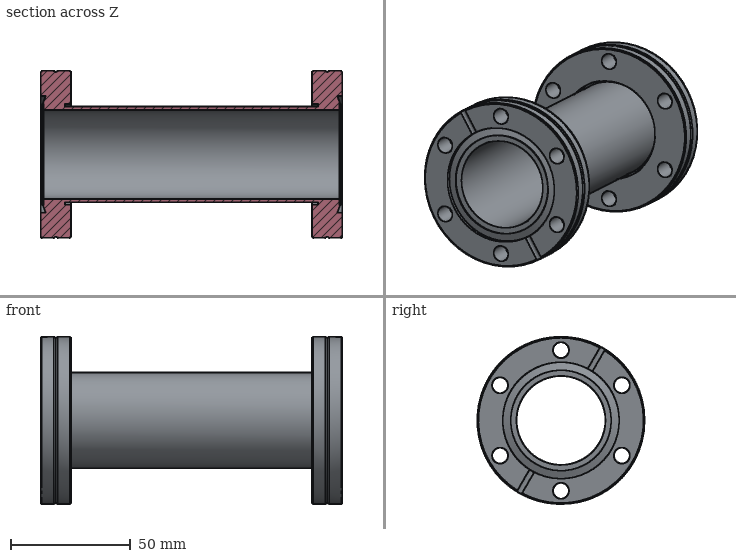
import cadquery as cq

length = 126.0
flange_diameter = 69.9
tube_diameter = 40.1
bore_diameter = 37.0
flange_thickness = 12.7

edge_chamfer = 0.5
rim_groove_width = 1.8
rim_groove_depth = 0.5

recess_diameter = 48.6
recess_depth = 2.0
knife_diameter = 42.0
knife_tip_depth = 0.8
seat_depth = 1.3

clearance_diameter = 42.0
clearance_depth = 2.5

bolt_count = 6
bolt_circle_diameter = 58.7
bolt_hole_diameter = 6.5
leak_groove_count = 2
leak_groove_width = 2.3
leak_groove_depth = 0.5
leak_groove_angle = 60.0

flange_radius = flange_diameter / 2
bore_radius = bore_diameter / 2
recess_radius = recess_diameter / 2
knife_radius = knife_diameter / 2
tube_radius = tube_diameter / 2
clearance_radius = clearance_diameter / 2


def flange_body():
    """Flange disc, not yet bored, with its sealing face at X = 0, revolved about the X axis."""
    groove_middle = flange_thickness / 2
    groove_half = rim_groove_width / 2
    profile = [
        (seat_depth, 0),
        (seat_depth, knife_radius),
        (knife_tip_depth, knife_radius),
        (recess_depth, recess_radius),
        (0, recess_radius),
        (0, flange_radius - edge_chamfer),
        (edge_chamfer, flange_radius),
        (groove_middle - groove_half, flange_radius),
        (groove_middle, flange_radius - rim_groove_depth),
        (groove_middle + groove_half, flange_radius),
        (flange_thickness - edge_chamfer, flange_radius),
        (flange_thickness, flange_radius - edge_chamfer),
        (flange_thickness, clearance_radius),
        (flange_thickness - clearance_depth, clearance_radius),
        (flange_thickness - clearance_depth, tube_radius),
        (flange_thickness, tube_radius),
        (flange_thickness, 0),
    ]
    return cq.Workplane("XY").polyline(profile).close().revolve(360, (0, 0, 0), (1, 0, 0))


def bolt_holes():
    """Through holes on the bolt circle, the first one straight up."""
    return (
        cq.Workplane("YZ")
        .polarArray(bolt_circle_diameter / 2, 90, 360, bolt_count)
        .circle(bolt_hole_diameter / 2)
        .extrude(flange_thickness)
    )


def leak_groove(angle):
    """Round-bottomed radial groove in the sealing face, from the recess out to the rim."""
    groove = (
        cq.Workplane("XZ", origin=(0, recess_radius, 0))
        .moveTo(0, -leak_groove_width / 2)
        .threePointArc((leak_groove_depth, 0), (0, leak_groove_width / 2))
        .close()
        .extrude(-(flange_radius - recess_radius))
    )
    return groove.rotate((0, 0, 0), (1, 0, 0), angle)


def flange():
    body = flange_body().cut(bolt_holes())
    for index in range(leak_groove_count):
        body = body.cut(leak_groove(leak_groove_angle + index * 360 / leak_groove_count))
    return body


def tube_body():
    """Solid cylinder spanning the gap between the two flanges."""
    return (
        cq.Workplane("YZ", origin=(flange_thickness - length / 2, 0, 0))
        .circle(tube_radius)
        .extrude(length - 2 * flange_thickness)
    )


def bore():
    """Cylinder that opens the part from end to end."""
    return cq.Workplane("YZ", origin=(-length / 2, 0, 0)).circle(bore_radius).extrude(length)


left_flange = flange().translate((-length / 2, 0, 0))
right_flange = left_flange.mirror("YZ")
result = tube_body().union(left_flange).union(right_flange).cut(bore())